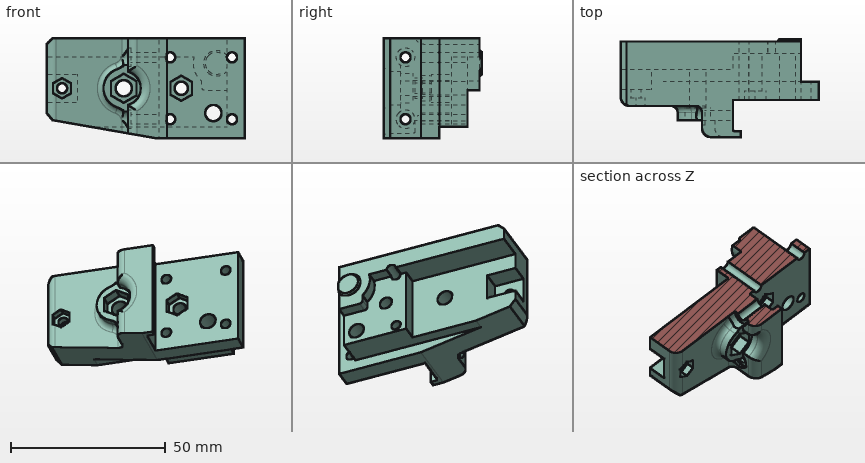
import cadquery as cq
import math

length = 64.1
height = 32.4
body_right = 58.3
body_back = 31.0
floor_y = 10.05
mid_z = 16.15

slope_rise = 6.15
slope_run = 35.2
end_chamfer = 2.0
outer_round = 3.0
inner_round = 2.0

plate_front = 12.0
plate_back = 18.0

block_left = 26.3
block_right = 36.35
lip_right = 38.85
lip_thickness = 2.0
lip_corner_round = 0.5

hub_x = 24.95
hub_radius = 6.55
hub_front = 5.45
hub_blend = 5.0
recess_radius = 5.5

under_plate_z = 3.7
cavity_front = 21.9
cavity_top = 26.3
cavity_right = block_right
lug_front = 27.1

pad_x = 54.95
pad_z = 24.2
pad_base_radius = 4.15
pad_top_radius = 3.6
pad_height = 0.7
lug_radius = 7.5
lug_left = 50.05
lug_bottom = 15.5
lug_round = 1.0

small_hole = 3.2
medium_hole = 4.2
large_hole = 5.2
end_bolt_x = 5.0
plate_bolt_x = 43.5
access_x = 53.9
access_z = 8.15
screw_pitch = 20.0
screw_mid_x = 49.95
cross_screw_y = 7.05
cross_screw_head = 6.0
cross_screw_seat = 1.0
end_nut_flats = 5.7
end_nut_depth = 2.55
hub_nut_flats = 8.15
hub_nut_depth = 4.0
plate_nut_flats = 7.05
plate_nut_depth = 3.0

slot_front = 15.5
slot_height = 9.05
slot_length = 2 * end_bolt_x


def box(x, y, z):
    """Box given by its (start, end) range along each axis."""
    size = [end - start for start, end in (x, y, z)]
    return cq.Workplane("XY").box(*size, centered=False).translate((x[0], y[0], z[0]))


def facing_back(y):
    """Workplane at depth y that extrudes toward the back, with local axes X and -Z."""
    return cq.Workplane(cq.Plane((0, y, 0), (1, 0, 0), (0, 1, 0)))


def disc(x, z, radius, y_start, y_end):
    """Cylinder along Y between two depths."""
    return facing_back(y_start).center(x, -z).circle(radius).extrude(y_end - y_start)


def nut_pocket(x, flats, y_start, depth):
    """Hexagonal pocket at the shared bolt height, with two flats upright."""
    across_corners = flats / math.cos(math.radians(30))
    hexagon = facing_back(y_start).center(x, -mid_z).transformed(rotate=(0, 0, 90))
    return hexagon.polygon(6, across_corners).extrude(depth)


def plan_prism():
    """Full-height body from its outline seen from above, with the inner corner still sharp."""
    outline = (
        cq.Workplane("XY")
        .moveTo(0, floor_y + outer_round)
        .radiusArc((outer_round, floor_y), -outer_round)
        .lineTo(block_left, floor_y)
        .lineTo(block_left, outer_round)
        .radiusArc((block_left + outer_round, 0), -outer_round)
        .lineTo(lip_right, 0)
        .lineTo(lip_right, lip_thickness)
        .lineTo(block_right + lip_corner_round, lip_thickness)
        .radiusArc((block_right, lip_thickness + lip_corner_round), lip_corner_round)
        .lineTo(block_right, plate_front)
        .lineTo(length, plate_front)
        .lineTo(length, plate_back)
        .lineTo(body_right, plate_back)
        .lineTo(body_right, body_back)
        .lineTo(0, body_back)
        .close()
    )
    return outline.extrude(height)


def side_prism():
    """Outline seen from the front: sloped underside and chamfered left end."""
    corners = [(0, slope_rise), (slope_run, 0), (length, 0), (length, height), (0, height)]
    prism = facing_back(0).polyline([(x, -z) for x, z in corners]).close().extrude(body_back)
    return prism.edges("|Y and <X").chamfer(end_chamfer)


def hub():
    """Round hub running into the block wall through concave blends."""
    blend_x = block_left - hub_blend
    reach = hub_radius + hub_blend
    blend_dz = math.sqrt(reach**2 - (hub_x - blend_x) ** 2)
    touch_x = hub_x + (blend_x - hub_x) * hub_radius / reach
    touch_dz = blend_dz * hub_radius / reach
    outline = (
        facing_back(hub_front)
        .moveTo(block_left, -mid_z - blend_dz)
        .radiusArc((touch_x, -mid_z - touch_dz), -hub_blend)
        .threePointArc((hub_x - hub_radius, -mid_z), (touch_x, -mid_z + touch_dz))
        .radiusArc((block_left, -mid_z + blend_dz), -hub_blend)
        .lineTo(block_left + inner_round, -mid_z + blend_dz)
        .lineTo(block_left + inner_round, -mid_z - blend_dz)
        .close()
    )
    return outline.extrude(floor_y - hub_front)


def recess():
    """Round recess in the block, flaring out to its front face."""
    mouth_radius = recess_radius + outer_round
    profile = (
        cq.Workplane("XY")
        .moveTo(0, 0)
        .lineTo(mouth_radius, 0)
        .radiusArc((recess_radius, outer_round), outer_round)
        .lineTo(recess_radius, hub_front)
        .lineTo(0, hub_front)
        .close()
    )
    return profile.revolve(360, (0, 0, 0), (0, 1, 0)).translate((hub_x, 0, mid_z))


def lug():
    """Leg and round boss hanging from the top slab behind the body."""
    leg = box((lug_left, body_right), (lug_front, body_back), (lug_bottom, cavity_top))
    leg = leg.edges("|Y and <X and <Z").fillet(lug_round)
    boss = disc(pad_x, pad_z, lug_radius, lug_front, body_back)
    pad = cq.Solid.makeCone(
        pad_base_radius, pad_top_radius, pad_height, cq.Vector(pad_x, body_back, pad_z), cq.Vector(0, 1, 0)
    )
    limit = box((0, body_right), (0, body_back + pad_height), (0, height))
    return leg.union(boss).union(cq.Workplane(pad)).intersect(limit)


base_margin = 0.05
base_edges = cq.selectors.BoxSelector(
    (hub_x - hub_radius - base_margin, floor_y - base_margin, -base_margin),
    (block_left + base_margin, floor_y + base_margin, height + base_margin),
)
result = plan_prism().union(hub()).edges(base_edges).fillet(inner_round)
result = result.intersect(side_prism())

result = result.cut(box((0, length), (plate_back, body_back), (0, under_plate_z)))
result = result.cut(box((0, cavity_right), (cavity_front, body_back), (0, cavity_top)))
result = result.cut(box((0, body_right), (lug_front, body_back), (0, cavity_top)))
slot_z = (mid_z - slot_height / 2, mid_z + slot_height / 2)
result = result.cut(box((0, slot_length), (slot_front, cavity_front), slot_z))
result = result.union(lug())

result = result.cut(recess())

bolts = [
    (end_bolt_x, small_hole, end_nut_flats, floor_y, end_nut_depth),
    (hub_x, large_hole, hub_nut_flats, hub_front, hub_nut_depth),
    (plate_bolt_x, medium_hole, plate_nut_flats, plate_front, plate_nut_depth),
]
for bolt_x, bolt_hole, nut_flats, nut_front, nut_depth in bolts:
    result = result.cut(disc(bolt_x, mid_z, bolt_hole / 2, 0, body_back))
    result = result.cut(nut_pocket(bolt_x, nut_flats, nut_front, nut_depth))
result = result.cut(disc(access_x, access_z, large_hole / 2, 0, body_back))

for side_z in (-1, 1):
    screw_z = mid_z + side_z * screw_pitch / 2
    for side_x in (-1, 1):
        screw_x = screw_mid_x + side_x * screw_pitch / 2
        result = result.cut(disc(screw_x, screw_z, small_hole / 2, plate_front, body_back))
    cross = cq.Workplane("YZ").center(cross_screw_y, screw_z)
    result = result.cut(cross.circle(small_hole / 2).extrude(block_right))
    result = result.cut(cross.circle(cross_screw_head / 2).extrude(block_left + cross_screw_seat))